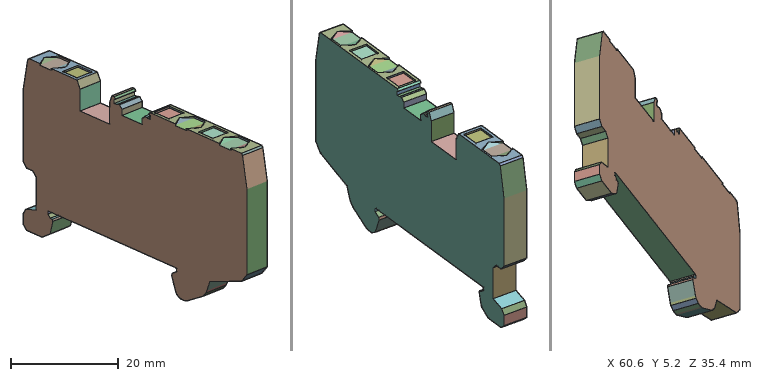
import cadquery as cq

LENGTH = 60.6
THICKNESS = 5.2
HEIGHT = 35.4

RAIL_Z = 5.95
SIDE_RECESS_X = 3.5
SIDE_RECESS_TOP_Z = 12.7
SHOULDER_Z = HEIGHT - 0.35
END_TAPER_Z = 28.5

NOTCH_LEFT = 15.45
NOTCH_RIGHT = 23.4
NOTCH_FLOOR_Z = 29.35
NOTCH_FLARE_Z = 33.8

CHANNEL_X = 29.5
CHANNEL_HALF_WIDTH = 2.7
CHANNEL_FLOOR_Z = 32.25
CHANNEL_BEVEL_Z = 33.5
RIDGE_OFFSET = 3.45
RIDGE_Z = 34.2
RIDGE_EDGE_OFFSET = 3.95
RIDGE_EDGE_Z = 34.1
GROOVE_Z = 34.0
GROOVE_START_OFFSET = 4.2
GROOVE_WALL_OFFSET = 4.85
LIP_ROOT_Z = 34.7
LIP_TIP_OFFSET = 4.5
LIP_TIP_Z = 35.0
LIP_TOP_OFFSET = 4.85

RECESS_DEPTH = 0.35
RECESS_PITCH = 11.95
PORT_SIDE = 3.9
PORT_TO_SLOT = 5.9
SLOT_LENGTH = 5.8
SLOT_FLOOR_LENGTH = 2.95
SLOT_WIDTH = 4.85
LEFT_SLOT_X = 6.05
MIDDLE_SLOT_X = 42.65
SLOT_XS = [LEFT_SLOT_X, MIDDLE_SLOT_X, MIDDLE_SLOT_X + RECESS_PITCH]
MIDDLE_PORT_X = MIDDLE_SLOT_X - PORT_TO_SLOT
PORT_XS = [LEFT_SLOT_X + PORT_TO_SLOT, MIDDLE_PORT_X, MIDDLE_PORT_X + RECESS_PITCH]


def channel_side(direction):
    """Half of the marker channel, from its floor up to the top face (-1 = left, +1 = right)."""
    half_profile = [
        (CHANNEL_HALF_WIDTH, CHANNEL_FLOOR_Z),
        (CHANNEL_HALF_WIDTH, CHANNEL_BEVEL_Z),
        (RIDGE_OFFSET, RIDGE_Z),
        (RIDGE_EDGE_OFFSET, RIDGE_EDGE_Z),
        (GROOVE_START_OFFSET, GROOVE_Z),
        (GROOVE_WALL_OFFSET, GROOVE_Z),
        (GROOVE_WALL_OFFSET, LIP_ROOT_Z),
        (LIP_TIP_OFFSET, LIP_TIP_Z),
        (LIP_TOP_OFFSET, HEIGHT),
    ]
    return [(CHANNEL_X + direction * offset, z) for offset, z in half_profile]


def body_outline():
    """Outline in XZ, clockwise from the lower end of the left side."""
    left_end = [(0, 13.8), (0, END_TAPER_Z), (1.2, SHOULDER_Z), (1.6, HEIGHT)]
    notch = [
        (14.6, HEIGHT),
        (NOTCH_LEFT, NOTCH_FLARE_Z),
        (NOTCH_LEFT, NOTCH_FLOOR_Z),
        (NOTCH_RIGHT, NOTCH_FLOOR_Z),
        (NOTCH_RIGHT, NOTCH_FLARE_Z),
        (24.05, HEIGHT),
    ]
    channel = channel_side(-1)[::-1] + channel_side(1)
    right_end = [
        (59.1, HEIGHT),
        (59.4, SHOULDER_Z),
        (LENGTH, END_TAPER_Z),
        (LENGTH, 11.0),
        (59.1, 9.15),
    ]
    right_foot = [
        (50.55, 6.25),
        (49.7, 4.0),
        (49.5, 3.6),
        (48.6, 2.55),
        (44.35, 0.2),
        (43.75, 0),
        (42.55, 0),
        (41.6, 0.55),
        (41.3, 0.9),
        (40.2, 3.95),
        (40.3, 4.5),
        (41.45, 5.15),
        (41.45, 5.75),
        (41.25, RAIL_Z),
    ]
    left_foot = [
        (6.7, RAIL_Z),
        (6.7, 5.3),
        (7.4, 4.65),
        (7.9, 4.6),
        (8.05, 4.25),
        (7.35, 1.45),
        (5.15, 0),
        (0.95, 0),
        (0, 0.9),
        (0, 3.15),
        (0.7, 4.25),
        (SIDE_RECESS_X, 5.0),
    ]
    left_recess = [(SIDE_RECESS_X, 11.75), (2.6, SIDE_RECESS_TOP_Z), (0.95, SIDE_RECESS_TOP_Z)]
    return left_end + notch + channel + right_end + right_foot + left_foot + left_recess


def wire_port(center_x):
    """Square pocket, centred across the thickness."""
    return (
        cq.Workplane("XY", origin=(center_x, THICKNESS / 2, HEIGHT - RECESS_DEPTH))
        .rect(PORT_SIDE, PORT_SIDE)
        .extrude(RECESS_DEPTH)
    )


def release_slot(center_x):
    """Hexagonal pocket, open at the front face, with a ramp down from each point to its floor."""
    point = SLOT_LENGTH / 2
    floor = SLOT_FLOOR_LENGTH / 2
    floor_z = HEIGHT - RECESS_DEPTH
    hexagon = (
        cq.Workplane("XY", origin=(center_x, 0, floor_z))
        .polyline([
            (-point, SLOT_WIDTH / 2),
            (-floor, SLOT_WIDTH),
            (floor, SLOT_WIDTH),
            (point, SLOT_WIDTH / 2),
            (floor, 0),
            (-floor, 0),
        ])
        .close()
        .extrude(RECESS_DEPTH)
    )
    ramps = (
        cq.Workplane("XZ", origin=(center_x, 0, floor_z))
        .polyline([(-point, RECESS_DEPTH), (-floor, 0), (floor, 0), (point, RECESS_DEPTH)])
        .close()
        .extrude(-SLOT_WIDTH)
    )
    return hexagon.intersect(ramps)


result = cq.Workplane("XZ").polyline(body_outline()).close().extrude(-THICKNESS)

for port_x in PORT_XS:
    result = result.cut(wire_port(port_x))

for slot_x in SLOT_XS:
    result = result.cut(release_slot(slot_x))